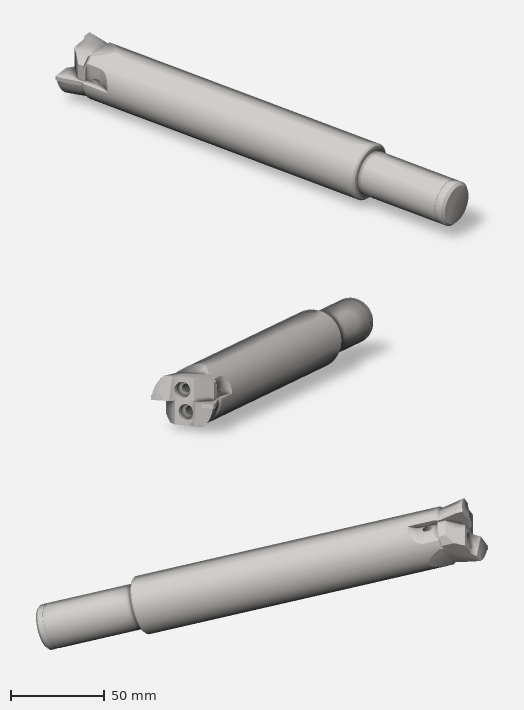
import cadquery as cq
import math

TOTAL_LENGTH = 250.0
SHAFT_RADIUS = 16.0
SHAFT_END = 193.8
SHAFT_CHAMFER = 1.0
CUT_MARGIN = 25.0

SHANK_RADIUS = 12.5
GROOVE_RADIUS = 12.2
NECK_END = 195.2
NECK_RAMP_END = 196.0
REAR_GROOVE_START = 244.0
REAR_GROOVE_END = 245.5
SHANK_CHAMFER = 1.5

HEAD_TIP_RADIUS = 17.8
HEAD_END = 15.2
HEAD_END_RADIUS = 15.0
SHOULDER_X = 17.0
FLAT_HEIGHT = 13.2
FLAT_RUNOUT_X = 26.8
FRONT_RELIEF = 7.0

NOTCH_DEPTH = 3.5
NOTCH_HALF_WIDTH = 7.8
NOTCH_FILLET = 6.2

HEAD_FLUTE_Y = 13.8
FLUTE_STEP_X = 16.2
SHAFT_FLUTE_Y = 12.0
FLUTE_FLAT_END = 24.2
FLUTE_RADIUS = 10.8
FLUTE_FACE_OFFSET = 2.0
BEVEL = 3.8

INSERT_LENGTH = 6.5
INSERT_THICKNESS = 2.5
INSERT_INNER_Y = 11.2
CUTTING_RADIUS = 18.0
CUTTING_LAND = 3.5
LEDGE_END = 14.5
LEDGE_END_Y = 15.0

HOLE_Y = 1.0
HOLE_Z = 6.0
COUNTERBORE_DIAMETER = 8.8
COUNTERBORE_DEPTH = 5.0
HOLE_DIAMETER = 5.0
HOLE_DEPTH = 15.0

COOLANT_DIAMETER = 3.0
COOLANT_ANGLE = 30.0
COOLANT_X = 22.8
COOLANT_Z = 1.5

TOOL_SIDES = (0, 180)


def turned(shape, angle):
    """Turn a shape about the tool axis."""
    return shape.rotate((0, 0, 0), (1, 0, 0), angle)


def edge_y(x):
    """Half width over the tapered outer edge of the insert and ledge."""
    taper = (CUTTING_RADIUS - LEDGE_END_Y) / (LEDGE_END - CUTTING_LAND)
    return CUTTING_RADIUS - taper * max(x - CUTTING_LAND, 0)


def turned_blank():
    """Head, shaft and shank as one revolved profile."""
    profile = [
        (0, 0),
        (0, HEAD_TIP_RADIUS),
        (HEAD_END, HEAD_END_RADIUS),
        (SHOULDER_X, SHAFT_RADIUS),
        (SHAFT_END - SHAFT_CHAMFER, SHAFT_RADIUS),
        (SHAFT_END, SHAFT_RADIUS - SHAFT_CHAMFER),
        (SHAFT_END, GROOVE_RADIUS),
        (NECK_END, GROOVE_RADIUS),
        (NECK_RAMP_END, SHANK_RADIUS),
        (REAR_GROOVE_START, SHANK_RADIUS),
        (REAR_GROOVE_START, GROOVE_RADIUS),
        (REAR_GROOVE_END, GROOVE_RADIUS),
        (REAR_GROOVE_END, SHANK_RADIUS),
        (TOTAL_LENGTH - SHANK_CHAMFER, SHANK_RADIUS),
        (TOTAL_LENGTH, SHANK_RADIUS - SHANK_CHAMFER),
        (TOTAL_LENGTH, 0),
    ]
    return cq.Workplane("XY").polyline(profile).close().revolve(360, (0, 0, 0), (1, 0, 0))


def ledge():
    """Tapered ledge below the flute floor, behind the insert."""
    outline = [
        (INSERT_LENGTH, 0),
        (INSERT_LENGTH, -edge_y(INSERT_LENGTH)),
        (LEDGE_END, -LEDGE_END_Y),
        (LEDGE_END, 0),
    ]
    return cq.Workplane("XY").polyline(outline).close().extrude(-INSERT_THICKNESS)


def insert(angle):
    """Cutting insert with its top face in the flute floor plane."""
    outline = [
        (0, -INSERT_INNER_Y),
        (0, -CUTTING_RADIUS),
        (CUTTING_LAND, -CUTTING_RADIUS),
        (INSERT_LENGTH, -edge_y(INSERT_LENGTH)),
        (INSERT_LENGTH, -INSERT_INNER_Y),
    ]
    plate = cq.Workplane("XY").polyline(outline).close().extrude(-INSERT_THICKNESS)
    return turned(plate, angle)


def flat_cutter():
    """Material above the head flat and its slope up to the shaft."""
    outline = [
        (-CUT_MARGIN, FLAT_HEIGHT),
        (HEAD_END, FLAT_HEIGHT),
        (FLAT_RUNOUT_X, SHAFT_RADIUS),
        (FLAT_RUNOUT_X, CUT_MARGIN),
        (-CUT_MARGIN, CUT_MARGIN),
    ]
    return cq.Workplane("XZ").polyline(outline).close().extrude(CUT_MARGIN, both=True)


def relief_cutter():
    """Wedge that tilts the front face back, away from the axis plane."""
    setback = CUT_MARGIN * math.tan(math.radians(FRONT_RELIEF))
    outline = [(0, 0), (setback, CUT_MARGIN), (-CUT_MARGIN, CUT_MARGIN), (-CUT_MARGIN, 0)]
    return cq.Workplane("XZ").polyline(outline).close().extrude(CUT_MARGIN, both=True)


def notch_cutter():
    """Half notch: a 45 degree wall blends into a floor that runs out into the flute."""
    outline = [
        (NOTCH_DEPTH, -CUT_MARGIN),
        (NOTCH_DEPTH, NOTCH_HALF_WIDTH - NOTCH_DEPTH),
        (0, NOTCH_HALF_WIDTH),
        (-CUT_MARGIN, NOTCH_HALF_WIDTH),
        (-CUT_MARGIN, -CUT_MARGIN),
    ]
    prism = cq.Workplane("XY").polyline(outline).close().extrude(CUT_MARGIN)
    wall_foot = cq.selectors.NearestToPointSelector(
        (NOTCH_DEPTH, NOTCH_HALF_WIDTH - NOTCH_DEPTH, CUT_MARGIN / 2)
    )
    return prism.edges("|Z").edges(wall_foot).fillet(NOTCH_FILLET)


def flute_cutter():
    """Flute above the insert, with an arc running out through the shaft."""
    def arc_point(angle):
        x = FLUTE_FLAT_END + FLUTE_RADIUS * math.sin(angle)
        return x, -SHAFT_FLUTE_Y - FLUTE_RADIUS * (1 - math.cos(angle))

    end_x, end_y = arc_point(math.pi / 2)
    return (
        cq.Workplane("XY")
        .moveTo(-FLUTE_FACE_OFFSET, 0)
        .lineTo(HEAD_FLUTE_Y - FLUTE_FACE_OFFSET, -HEAD_FLUTE_Y)
        .lineTo(FLUTE_STEP_X, -HEAD_FLUTE_Y)
        .lineTo(FLUTE_STEP_X, -SHAFT_FLUTE_Y)
        .lineTo(FLUTE_FLAT_END, -SHAFT_FLUTE_Y)
        .threePointArc(arc_point(math.pi / 4), (end_x, end_y))
        .lineTo(-FLUTE_FACE_OFFSET, end_y)
        .close()
        .extrude(CUT_MARGIN)
    )


def flute_backing():
    """Bevelled block behind the flute, standing out past the tapered head."""
    outline = [
        (0, 0),
        (-HEAD_FLUTE_Y, 0),
        (-HEAD_FLUTE_Y, FLAT_HEIGHT - BEVEL),
        (-HEAD_FLUTE_Y + BEVEL, FLAT_HEIGHT),
        (0, FLAT_HEIGHT),
    ]
    return cq.Workplane("YZ").polyline(outline).close().extrude(HEAD_END)


def front_hole_cutter():
    """Counterbored blind hole, measured from the notch floor."""
    plane = cq.Workplane("YZ").center(HOLE_Y, HOLE_Z)
    bore = plane.circle(HOLE_DIAMETER / 2).extrude(NOTCH_DEPTH + HOLE_DEPTH)
    counterbore = plane.circle(COUNTERBORE_DIAMETER / 2).extrude(NOTCH_DEPTH + COUNTERBORE_DEPTH)
    return bore.union(counterbore)


def coolant_cutter():
    """Slanted coolant hole from the tool's mid plane out through the flute flat."""
    angle = math.radians(COOLANT_ANGLE)
    outward = cq.Vector(-math.cos(angle), -math.sin(angle), 0)
    inner_length = SHAFT_FLUTE_Y / math.sin(angle)
    mouth = cq.Vector(COOLANT_X, -SHAFT_FLUTE_Y, COOLANT_Z)
    start = mouth - outward * inner_length
    length = inner_length + COOLANT_DIAMETER / math.tan(angle)
    return cq.Workplane(cq.Solid.makeCylinder(COOLANT_DIAMETER / 2, length, start, outward))


inserts = [insert(angle) for angle in TOOL_SIDES]

holder = turned_blank()
for side in TOOL_SIDES:
    holder = holder.union(turned(ledge(), side))
    holder = holder.union(turned(flute_backing(), side))
for side in TOOL_SIDES:
    for cutter in (
        notch_cutter(),
        flat_cutter(),
        relief_cutter(),
        flute_cutter(),
        front_hole_cutter(),
        coolant_cutter(),
    ):
        holder = holder.cut(turned(cutter, side))
for plate in inserts:
    holder = holder.cut(plate)

result = cq.Compound.makeCompound([*holder.solids().vals(), *[plate.val() for plate in inserts]])